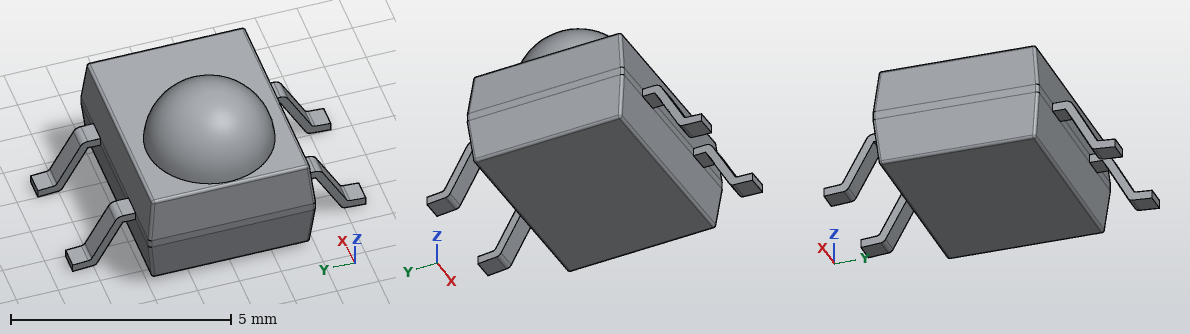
import cadquery as cq
import math

length_x = 5.0
width_y = 4.0
housing_bottom = 0.1
housing_top = 2.5
band_height = 0.2
side_taper = 6.0
edge_radius = 0.07

dome_radius = 1.5
dome_top = 3.9
dome_x = -0.8

lead_span = 7.0
lead_width = 0.51
lead_pitch = 2.54
lead_thickness = band_height
shoulder_reach = 2.3
leg_angle = 61.0
foot_angle = 4.0
shoulder_radius = 0.2
heel_radius = 0.15
instep_radius = 0.105

band_middle = (housing_bottom + housing_top) / 2
band_bottom = band_middle - band_height / 2
band_top = band_middle + band_height / 2


def tapered_half(start_z, height):
    """Housing half that narrows away from the band; a negative height goes down."""
    run = abs(height) * math.tan(math.radians(side_taper))
    return (
        cq.Workplane("XY", origin=(0, 0, start_z))
        .rect(length_x, width_y)
        .workplane(offset=height)
        .rect(length_x - 2 * run, width_y - 2 * run)
        .loft(ruled=True)
    )


def make_housing():
    band = cq.Workplane("XY", origin=(0, 0, band_bottom)).rect(length_x, width_y).extrude(band_height)
    block = band.union(tapered_half(band_top, housing_top - band_top))
    block = block.union(tapered_half(band_bottom, housing_bottom - band_bottom))

    corners = block.edges("not(#Z)")
    rims = block.faces("<Z or >Z").edges()
    block = block.newObject(corners.vals() + rims.vals()).fillet(edge_radius)

    ball = cq.Workplane("XY").sphere(dome_radius).translate((dome_x, 0, dome_top - dome_radius))
    return block.union(ball)


def make_lead(x, side):
    """Lead centred at x, leaving the housing towards +Y (side 1) or -Y (side -1)."""
    leg_slope = math.tan(math.radians(leg_angle))
    foot_slope = math.tan(math.radians(foot_angle))
    tip_y = lead_span / 2

    leg_lift = lead_thickness / math.cos(math.radians(leg_angle))
    foot_lift = lead_thickness / math.cos(math.radians(foot_angle))

    shoulder_y = shoulder_reach + (leg_lift - lead_thickness) / leg_slope
    heel_y = (band_bottom + leg_slope * shoulder_reach - foot_slope * tip_y) / (leg_slope - foot_slope)
    heel_z = foot_slope * (tip_y - heel_y)
    instep_y = heel_y + (leg_lift - foot_lift) / (leg_slope - foot_slope)
    instep_z = foot_slope * (tip_y - instep_y) + foot_lift

    lead = (
        cq.Workplane("YZ", origin=(-lead_width / 2, 0, 0))
        .moveTo(width_y / 2, band_bottom)
        .lineTo(shoulder_reach, band_bottom)
        .lineTo(heel_y, heel_z)
        .lineTo(tip_y, 0)
        .lineTo(tip_y, foot_lift)
        .lineTo(instep_y, instep_z)
        .lineTo(shoulder_y, band_top)
        .lineTo(width_y / 2, band_top)
        .close()
        .extrude(lead_width)
    )
    bends = (
        (shoulder_y, band_top, shoulder_radius),
        (heel_y, heel_z, heel_radius),
        (instep_y, instep_z, instep_radius),
    )
    for bend_y, bend_z, radius in bends:
        lead = lead.edges("|X").edges(cq.NearestToPointSelector((0, bend_y, bend_z))).fillet(radius)

    if side < 0:
        lead = lead.mirror("XZ")
    return lead.translate((x, 0, 0))


housing = make_housing()
leads = [make_lead(x, side) for x in (-lead_pitch / 2, lead_pitch / 2) for side in (-1, 1)]

result = cq.Compound.makeCompound([housing.solids().val(), *[lead.solids().val() for lead in leads]])